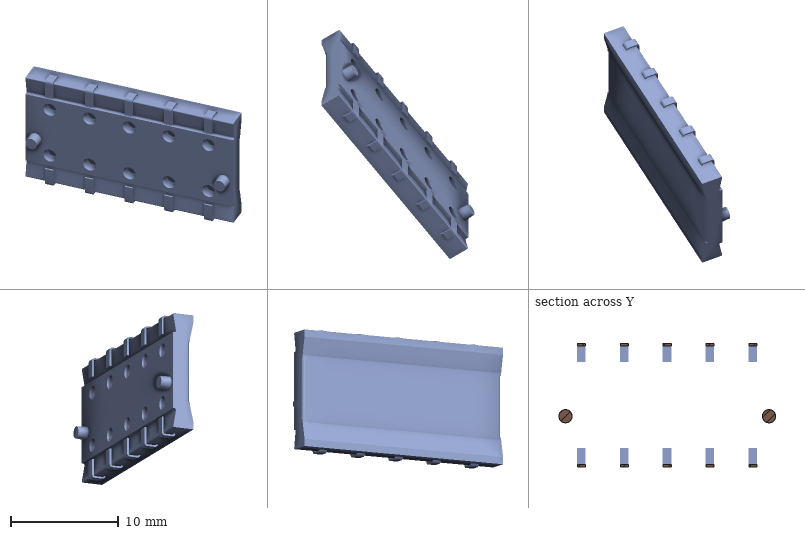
import cadquery as cq
import math

length = 20.98
body_depth = 2.1
body_height = 11.05
half_height = body_height / 2

waist_depth = 0.38
waist_half_height = 3.17
shoulder_half_height = 4.85
waist_end_radius = 0.25
waist_end_half_height = 2.94

front_half_height = 3.7
undercut_depth = 0.34
undercut_angle = 10.0
groove_radius = 0.13
rim_radius = 0.1

columns = 5
column_pitch = 4.0
clip_width = 0.8
clip_thickness = 0.17
clip_outer_radius = 0.3
overall_height = 11.6
clip_top = overall_height / 2
clip_front = -0.19
clip_back = 1.17
clip_leg_end = 4.0
clip_anchor = 0.2

hole_diameter = 1.3
hole_depth = 1.05
hole_row_spacing = 5.1

pin_spacing = 19.0
pin_z = -1.03
pin_base_diameter = 1.28
pin_tip_diameter = 1.13
pin_length = 1.0

column_positions = [(i - (columns - 1) / 2) * column_pitch for i in range(columns)]


def make_body():
    """Constant Y-Z profile along X, with rounded grooves and front rims."""
    rise = half_height - front_half_height
    rim_y = undercut_depth - rise * math.tan(math.radians(undercut_angle))
    waist_y = body_depth - waist_depth
    upper_half = [
        (0, front_half_height),
        (undercut_depth, front_half_height),
        (rim_y, half_height),
        (body_depth, half_height),
        (body_depth, shoulder_half_height),
        (waist_y, waist_half_height),
    ]
    lower_half = [(y, -z) for y, z in reversed(upper_half)]
    body = cq.Workplane("YZ").polyline(upper_half + lower_half).close().extrude(length / 2, both=True)

    def edges_at(y, z):
        reach = 0.002
        box = cq.selectors.BoxSelector
        upper = box((-length, y - reach, z - reach), (length, y + reach, z + reach))
        lower = box((-length, y - reach, -z - reach), (length, y + reach, -z + reach))
        return upper + lower

    body = body.edges(edges_at(undercut_depth, front_half_height)).fillet(groove_radius)
    return body.edges(edges_at(rim_y, half_height)).fillet(rim_radius)


def make_waist_rounding():
    """Material outside the round at both ends of the waist."""
    waist_y = body_depth - waist_depth
    corner = (
        cq.Workplane("XY", origin=(0, 0, -waist_end_half_height))
        .moveTo(length / 2, waist_y - waist_end_radius)
        .radiusArc((length / 2 - waist_end_radius, waist_y), -waist_end_radius)
        .lineTo(length / 2 - waist_end_radius, body_depth)
        .lineTo(length / 2, body_depth)
        .close()
        .extrude(2 * waist_end_half_height)
    )
    return corner.union(corner.mirror("YZ"))


def make_holes():
    """Two rows of blind holes in the front face."""
    centres = [(x, side * hole_row_spacing / 2) for x in column_positions for side in (-1, 1)]
    return cq.Workplane("XZ").pushPoints(centres).circle(hole_diameter / 2).extrude(-hole_depth)


def make_top_clip(x):
    """Bent strip: free leg in front, bridge over the top, anchor sunk into the body."""
    inner_radius = clip_outer_radius - clip_thickness
    inner_top = clip_top - clip_thickness
    bend_z = clip_top - clip_outer_radius
    anchor_z = half_height - clip_anchor
    return (
        cq.Workplane("YZ", origin=(x, 0, 0))
        .moveTo(clip_front, clip_leg_end)
        .lineTo(clip_front, bend_z)
        .radiusArc((clip_front + clip_outer_radius, clip_top), clip_outer_radius)
        .lineTo(clip_back - clip_outer_radius, clip_top)
        .radiusArc((clip_back, bend_z), clip_outer_radius)
        .lineTo(clip_back, anchor_z)
        .lineTo(clip_back - clip_thickness, anchor_z)
        .lineTo(clip_back - clip_thickness, bend_z)
        .radiusArc((clip_back - clip_outer_radius, inner_top), -inner_radius)
        .lineTo(clip_front + clip_outer_radius, inner_top)
        .radiusArc((clip_front + clip_thickness, bend_z), -inner_radius)
        .lineTo(clip_front + clip_thickness, clip_leg_end)
        .close()
        .extrude(clip_width / 2, both=True)
    )


def make_pin(x):
    """Cone frustum standing out of the front face."""
    taper = math.degrees(math.atan((pin_base_diameter - pin_tip_diameter) / 2 / pin_length))
    return (
        cq.Workplane("XZ", origin=(x, 0, pin_z))
        .circle(pin_base_diameter / 2)
        .extrude(pin_length, taper=taper)
    )


result = make_body().cut(make_waist_rounding()).cut(make_holes())
for column_x in column_positions:
    top_clip = make_top_clip(column_x)
    result = result.union(top_clip).union(top_clip.mirror("XY"))
for pin_x in (-pin_spacing / 2, pin_spacing / 2):
    result = result.union(make_pin(pin_x))